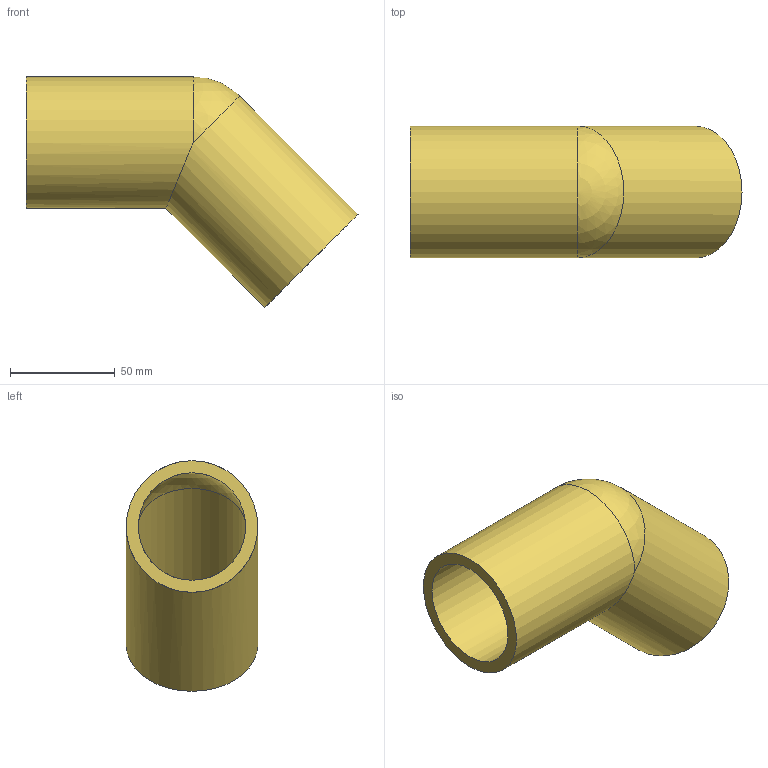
import cadquery as cq
import math

OUTER_DIAMETER = 63.0
BORE_DIAMETER = 51.4
LEG_LENGTH = 80.0
BEND_ANGLE = 45.0

BEND_CENTRE = cq.Vector(0, 0, 0)
bend = math.radians(BEND_ANGLE)
INLET_DIRECTION = cq.Vector(-1, 0, 0)
OUTLET_DIRECTION = cq.Vector(math.cos(bend), 0, -math.sin(bend))


def leg(diameter, direction):
    """Solid round leg from the bend centre to one open end."""
    return cq.Workplane(
        obj=cq.Solid.makeCylinder(diameter / 2, LEG_LENGTH, BEND_CENTRE, direction)
    )


def bent_rod(diameter):
    """Two round legs mitred on the inside of the bend and joined by a ball on the outside."""
    ball = cq.Workplane("XY").sphere(diameter / 2)
    inlet = leg(diameter, INLET_DIRECTION)
    outlet = leg(diameter, OUTLET_DIRECTION)
    return inlet.union(outlet).union(ball)


result = bent_rod(OUTER_DIAMETER).cut(bent_rod(BORE_DIAMETER))